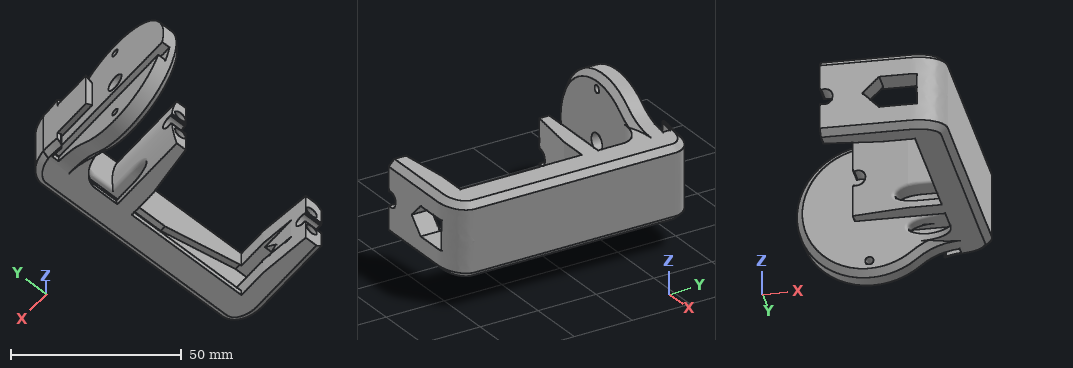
import cadquery as cq
import math

depth = 83.0
half_height = 12.4
wall_inner_x = 25.6
wall_outer_x = 35.5
corner_x = wall_outer_x - wall_inner_x
corner_y = 7.0
edge_chamfer = 2.0

arm_tip_x = -1.4
taper_start_x = 15.5
front_arm_root = 8.0
front_arm_tip = 6.1
middle_arm_root = 50.0
middle_arm_tip = 52.0
middle_arm_edge = 55.5
middle_arm_crown = 57.5

disc_radius = 22.0
neck_radius = 20.0
disc_front = 71.05
disc_back = 78.0
hook_front = 80.5
hook_tip_x = 7.3
hook_shoulder_x = 20.3
shoulder_bevel_x = 0.8
shoulder_bevel_y = 1.1
tongue_back_half = 8.3

shaft_radius = 2.5
throat_half = 2.3
lead_in_half = 2.9
lead_in_depth = 0.25
disc_bore_radius = 3.0
bolt_circle_radius = 17.4
bolt_diameter = 2.5
pilot_diameter = 4.0
pilot_depth = 10.0
pilot_offset = 5.1
pilot_point_angle = 118.0
front_pilot_y = 3.8
middle_pilot_y = 54.2

cable_x = 27.55
cable_top = -4.8
cable_bottom = -9.9
ramp_high_y = 8.55
ramp_low_y = 37.3
window_half = 5.0
window_tip_x = 11.4
pocket_floor_y = 6.7
passage_nose_x = 18.4
passage_nose_length = 7.0
mouth_round = 1.0
groove_floor_y = 75.2


def box(x0, x1, y0, y1, z0, z1):
    """Box spanning the given ranges along X, Y and Z."""
    return cq.Workplane("XY").box(x1 - x0, y1 - y0, z1 - z0, centered=False).translate((x0, y0, z0))


def y_prism(sketch, y0, y1):
    """Extrude a closed XZ sketch between two Y positions."""
    return sketch.extrude(-(y1 - y0)).translate((0, y0, 0))


neck_center_z = half_height + neck_radius
neck_center_x = math.sqrt((disc_radius + neck_radius) ** 2 - neck_center_z ** 2)
tangent_share = disc_radius / (disc_radius + neck_radius)
tangent_x = neck_center_x * tangent_share
tangent_z = neck_center_z * tangent_share
neck_angle = (math.atan2(neck_center_z, neck_center_x) + math.pi / 2) / 2
neck_mid_x = neck_center_x - neck_radius * math.cos(neck_angle)
neck_mid_z = neck_center_z - neck_radius * math.sin(neck_angle)


def disc_outline():
    """Sketch of the disc and its neck."""
    return (
        cq.Workplane("XZ")
        .moveTo(neck_center_x, half_height)
        .threePointArc((neck_mid_x, neck_mid_z), (tangent_x, tangent_z))
        .threePointArc((-disc_radius, 0), (tangent_x, -tangent_z))
        .threePointArc((neck_mid_x, -neck_mid_z), (neck_center_x, -half_height))
        .close()
    )


def frame():
    """C-shaped frame with the front arm, chamfered along its outer contour."""
    body = (
        cq.Workplane("XY")
        .moveTo(arm_tip_x, 0)
        .lineTo(wall_inner_x, 0)
        .ellipseArc(corner_x, corner_y, 270, 360, startAtCurrent=True)
        .lineTo(wall_outer_x, depth - corner_y)
        .ellipseArc(corner_x, corner_y, 0, 90, startAtCurrent=True)
        .lineTo(wall_inner_x, front_arm_root)
        .lineTo(taper_start_x, front_arm_root)
        .lineTo(arm_tip_x, front_arm_tip)
        .close()
        .extrude(half_height, both=True)
    )
    front_line = body.faces("|Z").edges("<Y")
    wall_line = body.faces("|Z").edges(">X")
    corners = body.faces("|Z").edges("%ELLIPSE")
    return front_line.add(wall_line).add(corners).chamfer(edge_chamfer)


def middle_arm():
    """Tapered arm whose back face is crowned about an axis parallel to X."""
    plan = (
        cq.Workplane("XY")
        .moveTo(arm_tip_x, middle_arm_tip)
        .lineTo(taper_start_x, middle_arm_root)
        .lineTo(wall_inner_x, middle_arm_root)
        .lineTo(wall_inner_x, middle_arm_crown)
        .lineTo(arm_tip_x, middle_arm_crown)
        .close()
        .extrude(half_height, both=True)
    )
    section = (
        cq.Workplane("YZ")
        .moveTo(middle_arm_edge, -half_height)
        .threePointArc((middle_arm_crown, 0), (middle_arm_edge, half_height))
        .lineTo(middle_arm_root, half_height)
        .lineTo(middle_arm_root, -half_height)
        .close()
        .extrude(2 * wall_outer_x, both=True)
    )
    return plan.intersect(section)


def disc():
    """Disc with a chamfered front rim."""
    plate = y_prism(disc_outline(), disc_front, disc_back)
    return plate.faces("<Y").edges("%CIRCLE").chamfer(edge_chamfer)


def disc_blend():
    """Concave elliptical blend between the disc and the wall."""
    start_x = wall_inner_x - corner_x
    return (
        cq.Workplane("XY")
        .moveTo(wall_inner_x, disc_front - corner_y)
        .ellipseArc(corner_x, corner_y, 0, 90, startAtCurrent=True)
        .lineTo(start_x, disc_back)
        .lineTo(wall_inner_x, disc_back)
        .close()
        .extrude(half_height, both=True)
    )


def hook():
    """Plate behind the disc with a dovetail tongue, and the bridge joining it to the wall."""
    plate = y_prism(disc_outline(), hook_front, depth)
    plate = plate.faces(">Y").edges("%CIRCLE").chamfer(edge_chamfer)
    shoulder = (
        cq.Workplane("XY")
        .moveTo(hook_shoulder_x, depth)
        .lineTo(neck_center_x, depth)
        .lineTo(neck_center_x, hook_front)
        .lineTo(hook_shoulder_x + shoulder_bevel_x, hook_front)
        .lineTo(hook_shoulder_x, hook_front + shoulder_bevel_y)
        .close()
        .extrude(disc_radius, both=True)
    )
    tongue_front_half = tongue_back_half - edge_chamfer
    tongue = (
        cq.Workplane("YZ")
        .workplane(offset=hook_tip_x)
        .moveTo(depth, tongue_back_half)
        .lineTo(hook_front, tongue_front_half)
        .lineTo(hook_front, -tongue_front_half)
        .lineTo(depth, -tongue_back_half)
        .close()
        .extrude(neck_center_x - hook_tip_x)
    )
    bridge = y_prism(disc_outline(), disc_back, hook_front)
    beyond_gap = box(wall_inner_x, wall_outer_x, disc_back, hook_front, -disc_radius, disc_radius)
    return plate.intersect(shoulder).union(tongue).union(bridge.intersect(beyond_gap))


def shaft_cut():
    """Clip bore through both arms and the larger bore through the disc."""
    bore = y_prism(cq.Workplane("XZ").circle(shaft_radius), 0, middle_arm_crown)
    throat_x = arm_tip_x + lead_in_depth
    throat = cq.Workplane("XZ").polyline(
        [
            (0, throat_half),
            (throat_x, throat_half),
            (arm_tip_x, lead_in_half),
            (arm_tip_x, -lead_in_half),
            (throat_x, -throat_half),
            (0, -throat_half),
        ]
    ).close()
    disc_bore = y_prism(cq.Workplane("XZ").circle(disc_bore_radius), disc_front, disc_back)
    return bore.union(y_prism(throat, 0, middle_arm_crown)).union(disc_bore)


def bolt_cut():
    """Two small holes through the disc, above and below its axis."""
    bolts = cq.Workplane("XZ").pushPoints([(0, bolt_circle_radius), (0, -bolt_circle_radius)])
    return y_prism(bolts.circle(bolt_diameter / 2), disc_front, disc_back)


def pilot_cut(y, z):
    """Blind hole drilled along X into an arm tip, ending in a cone."""
    radius = pilot_diameter / 2
    point_length = radius / math.tan(math.radians(pilot_point_angle / 2))
    profile = cq.Workplane("XY").polyline(
        [
            (arm_tip_x, 0),
            (arm_tip_x + pilot_depth + point_length, 0),
            (arm_tip_x + pilot_depth, radius),
            (arm_tip_x, radius),
        ]
    ).close()
    return profile.revolve(360, (0, 0, 0), (1, 0, 0)).translate((0, y, z))


def window_cut():
    """Pointed opening through the front arm."""
    shoulder_x = window_tip_x + window_half
    opening = cq.Workplane("XZ").polyline(
        [
            (window_tip_x, 0),
            (shoulder_x, window_half),
            (cable_x, window_half),
            (cable_x, -window_half),
            (shoulder_x, -window_half),
        ]
    ).close()
    return y_prism(opening, 0, front_arm_root)


def ramp_cut():
    """Channel in the wall that rises to the window, with a shallow pocket in the front arm."""
    channel = cq.Workplane("YZ").workplane(offset=arm_tip_x).polyline(
        [
            (pocket_floor_y, cable_top),
            (pocket_floor_y, window_half),
            (ramp_high_y, window_half),
            (ramp_low_y, cable_top),
            (ramp_low_y, cable_bottom),
            (front_arm_root, cable_bottom),
            (front_arm_root, cable_top),
        ]
    ).close()
    return channel.extrude(cable_x - arm_tip_x)


def passage_cut():
    """Passage along Y through the middle arm and the disc, with a half-elliptical end."""
    opening = (
        cq.Workplane("XZ")
        .moveTo(passage_nose_x, cable_top)
        .ellipseArc(passage_nose_length, (cable_top - cable_bottom) / 2, 90, 270, startAtCurrent=True)
        .lineTo(cable_x, cable_bottom)
        .lineTo(cable_x, cable_top)
        .close()
    )
    return y_prism(opening, ramp_low_y, hook_front)


def groove_cut():
    """Groove across the back of the disc, from the passage to the rim."""
    return box(-disc_radius, cable_x, groove_floor_y, hook_front, cable_bottom, cable_top)


result = frame().union(middle_arm()).union(disc()).union(disc_blend()).union(hook())

result = result.cut(passage_cut())
for mouth_start, mouth_end in ((middle_arm_root, middle_arm_tip), (middle_arm_edge, disc_back)):
    mouth = cq.selectors.BoxSelector(
        (arm_tip_x, mouth_start - mouth_round, cable_bottom - mouth_round),
        (wall_inner_x + mouth_round, mouth_end, cable_top + mouth_round),
    )
    result = result.edges(mouth).fillet(mouth_round)
result = result.cut(ramp_cut()).cut(groove_cut()).cut(window_cut())

result = result.cut(shaft_cut()).cut(bolt_cut())
for pilot_y in (front_pilot_y, middle_pilot_y):
    for pilot_z in (pilot_offset, -pilot_offset):
        result = result.cut(pilot_cut(pilot_y, pilot_z))